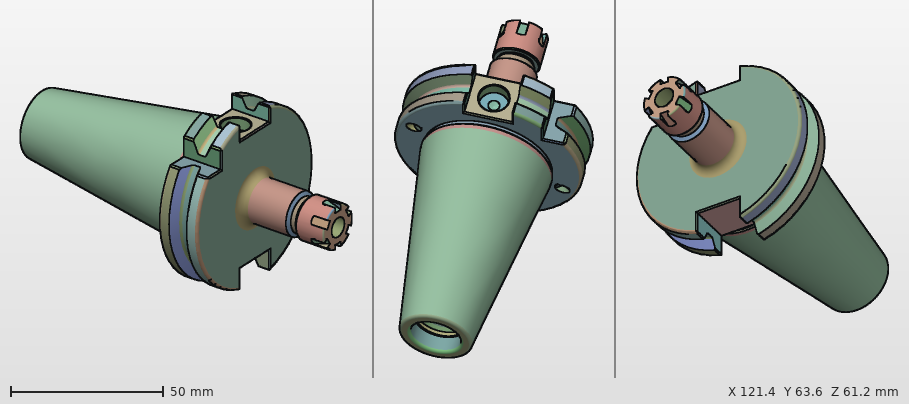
import cadquery as cq
import math


taper_length = 68.4
gauge_radius = 44.45 / 2
taper_slope = 7 / 48
taper_end_radius = gauge_radius - taper_length * taper_slope
taper_end_fillet = 1.0
relief_start = 1.5
relief_depth = 0.5
relief_flank = 0.5
relief_radius = gauge_radius - relief_depth

flange_start = 3.2
flange_end = 19.1
flange_radius = 63.55 / 2
flange_edge_fillet = 1.0
groove_center = 11.1
groove_floor_radius = 56.25 / 2
groove_opening = 7.2
groove_flank_angle = math.radians(30)
groove_floor_fillet = 1.0

key_slot_width = 16.1
upper_key_floor = 24.9
lower_key_floor = 22.8
orientation_notch = 18.5
notch_chamfer = 0.5
notch_overrun = 1.0

chip_radius = 5.0
chip_depth = 4.6
chip_chamfer = 0.3
chip_spot_radius = 1.9

neck_radius = 8.0
neck_end = 37.6
neck_fillet = 3.0
undercut_start = 38.5
undercut_end = 40.4
undercut_radius = 6.5
spigot_radius = 6.0
spigot_chamfer = undercut_radius - spigot_radius

nut_start = 41.4
nut_end = 53.0
nut_radius = neck_radius
nut_rear_chamfer = 0.4
nut_front_fillet = 0.5
nut_socket_depth = 5.0
spigot_end = nut_start + nut_socket_depth

wrench_slot_count = 6
wrench_slot_width = 3.0
wrench_slot_length = 5.6
wrench_slot_slope = math.radians(20)

bore_mouth_fillet = 1.0
pilot_radius = 8.5
pilot_end = -taper_length + 6.0
seat_radius = 8.2
seat_end = -taper_length + 7.8
drill_radius = 7.1
drill_tip_start = seat_end + seat_radius - drill_radius
drill_tip_angle = math.radians(59)
through_radius = 3.55

feed_hole_radius = 1.25
feed_hole_pitch_radius = 7.25
feed_hole_depth = 5.0

outlet_radius = 2.05
outlet_pitch_radius = 26.8
outlet_tilt = math.radians(38.5)
outlet_floor_margin = 0.1
outlet_depth = outlet_radius * math.tan(outlet_tilt) + outlet_floor_margin

coolant_clockings = (20.3, 200.3)


def start_profile(x, radius):
    """Begin a half profile whose local axes are X and the radius."""
    return cq.Workplane("XZ").moveTo(x, radius)


def spin(profile):
    """Close a half profile and revolve it about the spindle axis."""
    return profile.close().revolve(360, (0, 0, 0), (1, 0, 0))


def cylinder(start, end, radius):
    profile = start_profile(start, 0).lineTo(start, radius).lineTo(end, radius).lineTo(end, 0)
    return spin(profile)


def taper_body():
    profile = (
        start_profile(-taper_length, 0)
        .lineTo(-taper_length, taper_end_radius)
        .lineTo(0, gauge_radius)
        .lineTo(relief_start, gauge_radius)
        .lineTo(relief_start + relief_flank, relief_radius)
        .lineTo(flange_start, relief_radius)
        .lineTo(flange_start, 0)
    )
    return spin(profile).faces("<X").edges().fillet(taper_end_fillet)


def neck_body():
    profile = (
        start_profile(flange_end, 0)
        .lineTo(flange_end, neck_radius + neck_fillet)
        .radiusArc((flange_end + neck_fillet, neck_radius), -neck_fillet)
        .lineTo(neck_end, neck_radius)
        .lineTo(undercut_start, undercut_radius)
        .lineTo(undercut_end, undercut_radius)
        .lineTo(undercut_end + spigot_chamfer, spigot_radius)
        .lineTo(spigot_end, spigot_radius)
        .lineTo(spigot_end, 0)
    )
    return spin(profile)


def flange_notch(y_start, y_end, z_start, z_end):
    """Block through the flange thickness, bounded in Y and Z."""
    block = cq.Workplane("XY").box(
        flange_end - flange_start, y_end - y_start, z_end - z_start, centered=False
    )
    return block.translate((flange_start, y_start, z_start))


def on_rim(edge):
    center = edge.Center()
    return math.isclose(math.hypot(center.y, center.z), flange_radius, rel_tol=1e-6)


def flange_body():
    disc = cylinder(flange_start, flange_end, flange_radius)
    reach = flange_radius + notch_overrun
    half_slot = key_slot_width / 2
    flange = (
        disc.cut(flange_notch(-half_slot, half_slot, upper_key_floor, reach))
        .cut(flange_notch(-half_slot, half_slot, -reach, -lower_key_floor))
        .cut(flange_notch(-reach, -orientation_notch, orientation_notch, reach))
    )
    face_edges = flange.edges("|Y or |Z").vals()
    rim_edges = [edge for edge in flange.edges("|X").vals() if on_rim(edge)]
    flange = flange.newObject(face_edges + rim_edges).chamfer(notch_chamfer)
    rounded_disc = disc.edges("%CIRCLE").fillet(flange_edge_fillet)
    return flange.intersect(rounded_disc).cut(gripper_groove())


def gripper_groove():
    half_opening = groove_opening / 2
    depth = flange_radius - groove_floor_radius
    half_floor = half_opening - depth * math.tan(groove_flank_angle)
    profile = (
        start_profile(groove_center - half_opening, flange_radius)
        .lineTo(groove_center - half_floor, groove_floor_radius)
        .lineTo(groove_center + half_floor, groove_floor_radius)
        .lineTo(groove_center + half_opening, flange_radius)
    )
    floor_edges = cq.selectors.RadiusNthSelector(0)
    return spin(profile).edges(floor_edges).fillet(groove_floor_fillet)


def chip_pocket():
    floor = upper_key_floor - chip_depth
    spot_depth = chip_spot_radius / math.tan(drill_tip_angle)
    profile = (
        cq.Workplane("XZ")
        .moveTo(0, upper_key_floor)
        .lineTo(chip_radius + chip_chamfer, upper_key_floor)
        .lineTo(chip_radius, upper_key_floor - chip_chamfer)
        .lineTo(chip_radius, floor)
        .lineTo(chip_spot_radius, floor)
        .lineTo(0, floor - spot_depth)
        .close()
    )
    return profile.revolve(360, (0, 0, 0), (0, 1, 0)).translate((groove_center, 0, 0))


def axial_bore():
    tip_length = (drill_radius - through_radius) / math.tan(drill_tip_angle)
    profile = (
        start_profile(-taper_length, 0)
        .lineTo(-taper_length, pilot_radius + bore_mouth_fillet)
        .radiusArc((-taper_length + bore_mouth_fillet, pilot_radius), -bore_mouth_fillet)
        .lineTo(pilot_end, pilot_radius)
        .lineTo(pilot_end + pilot_radius - seat_radius, seat_radius)
        .lineTo(seat_end, seat_radius)
        .lineTo(drill_tip_start, drill_radius)
        .lineTo(drill_tip_start + tip_length, through_radius)
        .lineTo(spigot_end, through_radius)
        .lineTo(spigot_end, 0)
    )
    return spin(profile)


def feed_hole(clocking):
    base = cq.Vector(drill_tip_start, feed_hole_pitch_radius, 0)
    hole = cq.Solid.makeCylinder(feed_hole_radius, feed_hole_depth, base, cq.Vector(1, 0, 0))
    return cq.Workplane(obj=hole).rotate((0, 0, 0), (1, 0, 0), clocking)


def coolant_outlet(clocking):
    outward = cq.Vector(-math.cos(outlet_tilt), math.sin(outlet_tilt), 0)
    floor_center = cq.Vector(flange_start, outlet_pitch_radius, 0) - outward * outlet_depth
    hole = cq.Solid.makeCylinder(outlet_radius, 2 * outlet_depth, floor_center, outward)
    return cq.Workplane(obj=hole).rotate((0, 0, 0), (1, 0, 0), clocking)


def make_holder():
    holder = taper_body().union(flange_body()).union(neck_body())
    holder = holder.cut(axial_bore()).cut(chip_pocket())
    for clocking in coolant_clockings:
        holder = holder.cut(feed_hole(clocking)).cut(coolant_outlet(clocking))
    return holder


def wrench_slot():
    """Wedge above a floor that drops from the nut surface toward the front."""
    back = nut_end - wrench_slot_length
    floor_drop = wrench_slot_length * math.tan(wrench_slot_slope)
    wedge = (
        cq.Workplane("XZ")
        .moveTo(back, nut_radius)
        .lineTo(nut_end, nut_radius)
        .lineTo(nut_end, nut_radius - floor_drop)
        .close()
    )
    return wedge.extrude(wrench_slot_width / 2, both=True)


def make_nut():
    nut = cylinder(nut_start, nut_end, nut_radius)
    nut = nut.faces("<X").edges().chamfer(nut_rear_chamfer)
    nut = nut.faces(">X").edges().fillet(nut_front_fillet)
    nut = nut.cut(cylinder(nut_start, spigot_end, spigot_radius))
    nut = nut.cut(cylinder(spigot_end, nut_end, through_radius))
    slot = wrench_slot()
    for index in range(wrench_slot_count):
        angle = index * 360 / wrench_slot_count
        nut = nut.cut(slot.rotate((0, 0, 0), (1, 0, 0), angle))
    return nut


holder = make_holder()
nut = make_nut()

result = cq.Compound.makeCompound([holder.val(), nut.val()])